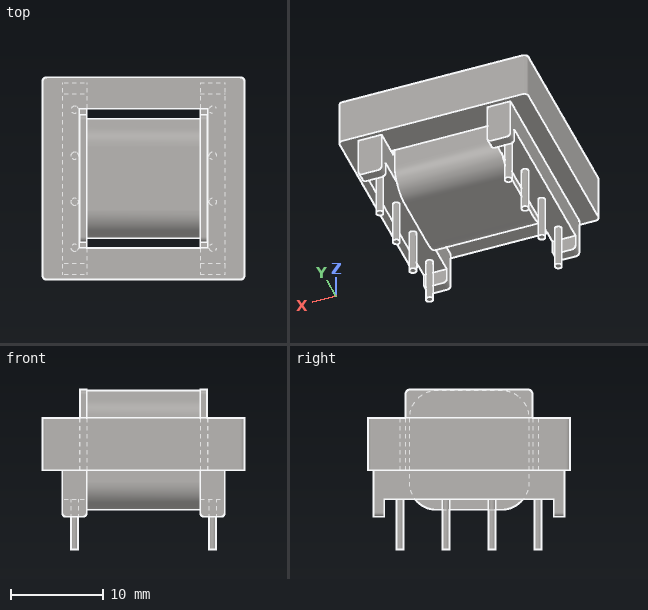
import cadquery as cq


OVERALL_HEIGHT = 17.4

CORE_SIDE = 22.0
CORE_HEIGHT = 5.7
CORE_CORNER_RADIUS = 0.5
WINDOW_X = 14.0
WINDOW_Y = 15.1

RAIL_WIDTH = 2.7
RAIL_LENGTH = 20.8
RAIL_HEIGHT = 3.15
FOOT_HEIGHT = 1.9
FOOT_LENGTH = 1.2
FOOT_EDGE_RADIUS = 0.45

PIN_DIAMETER = 0.8
PIN_PROJECTION = 3.55
PIN_PITCH = 5.0
PINS_PER_RAIL = 4
PIN_ROW_SPACING = 15.0

FLANGE_SPAN_X = 13.8
FLANGE_THICKNESS = 0.75
FLANGE_WIDTH = 13.85
FLANGE_CORNER_RADIUS = 0.55

WINDING_SIDE = 13.0
WINDING_CORNER_RADIUS = 3.0
WINDING_TOP_GAP = 0.1

core_bottom = FOOT_HEIGHT + RAIL_HEIGHT
flange_top = OVERALL_HEIGHT - PIN_PROJECTION
flange_height = flange_top - core_bottom
winding_length = FLANGE_SPAN_X - 2 * FLANGE_THICKNESS
winding_center_z = flange_top - WINDING_TOP_GAP - WINDING_SIDE / 2
flange_x = (winding_length + FLANGE_THICKNESS) / 2
rail_x = (winding_length + RAIL_WIDTH) / 2
pin_x = PIN_ROW_SPACING / 2


def block(size_x, size_y, height, x, bottom):
    """Box centred on (x, 0) in plan, standing on the given level."""
    return (
        cq.Workplane("XY", origin=(x, 0, bottom))
        .box(size_x, size_y, height, centered=(True, True, False))
    )


def make_core():
    """Square frame with rounded outer corners and a rectangular window."""
    frame = block(CORE_SIDE, CORE_SIDE, CORE_HEIGHT, 0, core_bottom)
    frame = frame.edges("|Z").fillet(CORE_CORNER_RADIUS)
    return frame.cut(block(WINDOW_X, WINDOW_Y, CORE_HEIGHT, 0, core_bottom))


def make_winding():
    """Rounded-square coil that fills the space between the flanges."""
    coil = cq.Workplane("XY", origin=(0, 0, winding_center_z))
    coil = coil.box(winding_length, WINDING_SIDE, WINDING_SIDE)
    return coil.edges("|X").fillet(WINDING_CORNER_RADIUS)


def make_flange(x):
    """Upright bobbin end plate with rounded upper corners."""
    plate = block(FLANGE_THICKNESS, FLANGE_WIDTH, flange_height, x, core_bottom)
    return plate.edges("|X and >Z").fillet(FLANGE_CORNER_RADIUS)


def make_rail(x):
    """Pin rail with a foot at each end, the feet rounded along their lower edges."""
    rail = block(RAIL_WIDTH, RAIL_LENGTH, core_bottom, x, 0)
    gap_between_feet = RAIL_LENGTH - 2 * FOOT_LENGTH
    rail = rail.cut(block(RAIL_WIDTH, gap_between_feet, FOOT_HEIGHT, x, 0))
    return rail.edges("|Y and <Z").fillet(FOOT_EDGE_RADIUS)


def make_pin_row(x):
    """Row of round pins hanging from the underside of a rail."""
    return (
        cq.Workplane("XY", origin=(x, 0, -PIN_PROJECTION))
        .rarray(1, PIN_PITCH, 1, PINS_PER_RAIL)
        .circle(PIN_DIAMETER / 2)
        .extrude(PIN_PROJECTION + FOOT_HEIGHT)
    )


result = make_core().union(make_winding())
for side in (-1, 1):
    result = result.union(make_rail(side * rail_x))
    result = result.union(make_flange(side * flange_x))
    result = result.union(make_pin_row(side * pin_x))